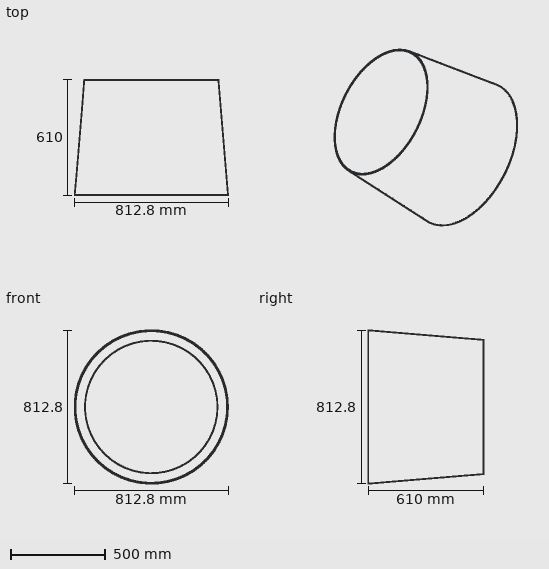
import cadquery as cq

LARGE_DIAMETER = 812.8
SMALL_DIAMETER = 711.2
LENGTH = 610.0
WALL = 6.0


def cone_between(large_diameter, small_diameter):
    """Solid truncated cone from the large end at y = 0 to the small end at y = LENGTH."""
    profile = [
        (0, 0),
        (large_diameter / 2, 0),
        (small_diameter / 2, LENGTH),
        (0, LENGTH),
    ]
    return cq.Workplane("XY").polyline(profile).close().revolve(360, (0, 0, 0), (0, 1, 0))


outside = cone_between(LARGE_DIAMETER, SMALL_DIAMETER)
bore = cone_between(LARGE_DIAMETER - 2 * WALL, SMALL_DIAMETER - 2 * WALL)

result = outside.cut(bore)